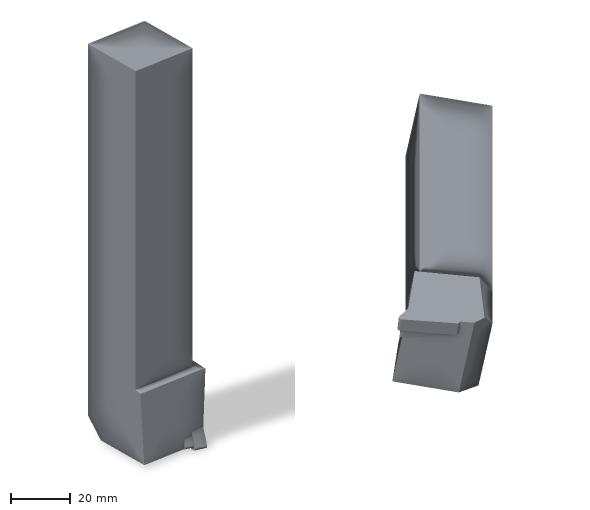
import cadquery as cq
import math

shank_width = 25.0
tool_length = 150.5

head_bottom = 1.5
shoulder_height = 28.5
shoulder_slope = math.tan(math.radians(14))
head_side = 27.4
head_foot = 29.5
heel_width = 6.8
heel_height = 6.8
head_room = 33.1

insert_edge = 22.0
insert_thickness = 4.8
nose_radius = 0.9
tip_x = 32.8
tip_y = 25.1
tip_z = 0.0
side_rake = math.tan(math.radians(5.5))
back_rake = math.tan(math.radians(6))
edge_rise = math.tan(math.radians(1))

seat_inset = 0.6
seat_thickness = 3.3


def rake_plane():
    """Plane of the insert's rake face and of the head's back face, with its origin at the sharp tip."""
    normal = cq.Vector(side_rake, 1, -back_rake)
    edge_direction = cq.Vector(1, -side_rake - back_rake * edge_rise, -edge_rise)
    return cq.Plane(origin=(tip_x, tip_y, tip_z), xDir=edge_direction, normal=normal)


def rounded_triangle(depth, thickness, inset):
    """Triangular prism, starting at a depth below the rake face, its sides moved in by the inset."""
    height = insert_edge * math.sin(math.radians(60))
    center_x = -insert_edge / 2
    center_y = -height / 3
    inradius = height / 3 - inset
    half_edge = inradius * math.sqrt(3)
    corners = [
        (center_x + half_edge, center_y + inradius),
        (center_x - half_edge, center_y + inradius),
        (center_x, center_y - 2 * inradius),
    ]
    prism = (
        cq.Workplane(rake_plane()).workplane(offset=-depth)
        .polyline(corners).close().extrude(-thickness)
    )
    side_edges = cq.selectors.ParallelDirSelector(rake_plane().zDir)
    return prism.edges(side_edges).fillet(nose_radius)


def make_head():
    side_top = shoulder_height - shoulder_slope * (head_side - shank_width)
    front_outline = [
        (0, head_bottom + heel_height),
        (heel_width, head_bottom),
        (head_foot, head_bottom),
        (head_side, side_top),
        (shank_width, shoulder_height),
        (0, shoulder_height),
    ]
    head = cq.Workplane("XZ").polyline(front_outline).close().extrude(-head_room)

    back_top = shoulder_height - shoulder_slope * (head_room - shank_width)
    shoulder_outline = [
        (0, 0),
        (head_room, 0),
        (head_room, back_top),
        (shank_width, shoulder_height),
        (0, shoulder_height),
    ]
    head = head.intersect(cq.Workplane("YZ").polyline(shoulder_outline).close().extrude(head_room))

    flank_outline = [
        (0, shank_width),
        (head_room - shank_width, head_room),
        (0, head_room),
    ]
    head = head.cut(cq.Workplane("XY").polyline(flank_outline).close().extrude(shoulder_height))

    back_waste = cq.Workplane(rake_plane()).rect(tool_length, tool_length).extrude(head_room)
    return head.cut(back_waste)


def make_holder(insert):
    shank_length = tool_length - shoulder_height
    shank = (
        cq.Workplane("XY").workplane(offset=shoulder_height)
        .rect(shank_width, shank_width, centered=False).extrude(shank_length)
    )
    seat = rounded_triangle(insert_thickness, seat_thickness, seat_inset)
    return shank.union(make_head()).union(seat).cut(insert)


insert = rounded_triangle(0, insert_thickness, 0)
holder = make_holder(insert)

result = cq.Compound.makeCompound([holder.solids().val(), insert.solids().val()])